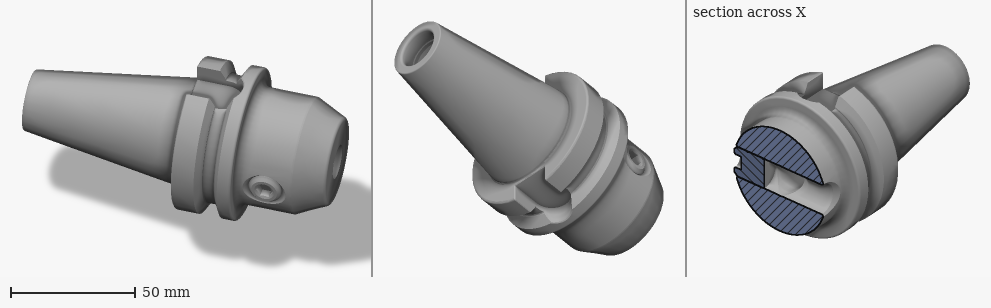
import cadquery as cq
import math


taper_per_length = 7 / 24
gauge_x = 66.0
gauge_radius = 22.2
shank_end_radius = gauge_radius - gauge_x * taper_per_length / 2
shank_edge_fillet = 0.5
neck_fillet = 0.6

flange_front_x = 67.4
flange_rear_x = 92.3
flange_diameter = 63.0
flange_radius = flange_diameter / 2
flange_edge_fillet = 0.9
groove_center_x = 81.9
groove_mouth_width = 9.8
groove_floor_width = 4.9
groove_floor_radius = 26.5
groove_wall_angle = 30
groove_floor_fillet = 0.4
groove_wall_run = (groove_mouth_width - groove_floor_width) / 2
groove_wall_foot_radius = flange_radius - groove_wall_run / math.tan(math.radians(groove_wall_angle))

nose_radius = 24.1
nose_root_fillet = 3.0
nose_cone_x = 115.4
nose_end_x = 128.4
nose_end_radius = 18.0
nose_fillet = 1.7

slot_width = 16.0
slot_floor_height = 22.5
slot_end_x = 88.9
slot_chamfer = 0.4

bore_radius = 7.0
pilot_radius = 8.5
pilot_depth = 6.7
pilot_mouth_fillet = 1.0
entry_radius = 8.1
entry_depth = 8.5
entry_cone_length = 1.2

screw_x = 104.5
screw_radius = 6.9
countersink_radius = 9.0

screw_length = 16.0
screw_face_radius = 5.4
screw_chamfer = screw_radius - screw_face_radius
hex_across_flats = 6.0
hex_depth = 3.9
hex_mouth_radius = 4.1
hex_mouth_angle = 30


def circles_at(body, x, radius):
    """Full circles around the X axis at the given place."""
    tolerance = 0.01
    found = [
        edge for edge in body.edges("%CIRCLE").vals()
        if abs(edge.Center().x - x) < tolerance and abs(edge.radius() - radius) < tolerance
    ]
    return body.newObject(found)


def make_turned_blank():
    groove_front_x = groove_center_x - groove_mouth_width / 2
    groove_rear_x = groove_center_x + groove_mouth_width / 2
    floor_front_x = groove_center_x - groove_floor_width / 2
    floor_rear_x = groove_center_x + groove_floor_width / 2
    outline = [
        (0, 0),
        (0, shank_end_radius),
        (gauge_x, gauge_radius),
        (flange_front_x, gauge_radius),
        (flange_front_x, flange_radius),
        (groove_front_x, flange_radius),
        (floor_front_x, groove_wall_foot_radius),
        (floor_front_x, groove_floor_radius),
        (floor_rear_x, groove_floor_radius),
        (floor_rear_x, groove_wall_foot_radius),
        (groove_rear_x, flange_radius),
        (flange_rear_x, flange_radius),
        (flange_rear_x, nose_radius),
        (nose_cone_x, nose_radius),
        (nose_end_x, nose_end_radius),
        (nose_end_x, 0),
    ]
    blank = cq.Workplane("XY").polyline(outline).close().revolve(360, (0, 0, 0), (1, 0, 0))
    rounded_edges = [
        (0, shank_end_radius, shank_edge_fillet),
        (flange_front_x, gauge_radius, neck_fillet),
        (flange_front_x, flange_radius, flange_edge_fillet),
        (floor_front_x, groove_floor_radius, groove_floor_fillet),
        (floor_rear_x, groove_floor_radius, groove_floor_fillet),
        (flange_rear_x, flange_radius, flange_edge_fillet),
        (flange_rear_x, nose_radius, nose_root_fillet),
        (nose_cone_x, nose_radius, nose_fillet),
        (nose_end_x, nose_end_radius, nose_fillet),
    ]
    for x, radius, fillet in rounded_edges:
        blank = circles_at(blank, x, radius).fillet(fillet)
    return blank


def cut_bore(body):
    step = pilot_radius - entry_radius
    outline = [
        (0, 0),
        (0, pilot_radius),
        (pilot_depth, pilot_radius),
        (pilot_depth + step, entry_radius),
        (entry_depth, entry_radius),
        (entry_depth + entry_cone_length, bore_radius),
        (nose_end_x, bore_radius),
        (nose_end_x, 0),
    ]
    bore = cq.Workplane("XY").polyline(outline).close().revolve(360, (0, 0, 0), (1, 0, 0))
    return circles_at(body.cut(bore), 0, pilot_radius).fillet(pilot_mouth_fillet)


def make_slot_cutter():
    """Cutter for the top slot: round-ended slot plus the chamfer around its front opening."""
    start_x = gauge_x
    end_center_x = slot_end_x - slot_width / 2
    height = flange_radius - slot_floor_height + 1.3
    slot = (
        cq.Workplane("XY", origin=(0, 0, slot_floor_height))
        .moveTo(start_x, -slot_width / 2)
        .lineTo(end_center_x, -slot_width / 2)
        .threePointArc((slot_end_x, 0), (end_center_x, slot_width / 2))
        .lineTo(start_x, slot_width / 2)
        .close()
        .extrude(height)
    )
    front_chamfer = (
        cq.Workplane("YZ", origin=(flange_front_x, 0, slot_floor_height + height / 2))
        .rect(slot_width + 2 * slot_chamfer, height + 2 * slot_chamfer)
        .extrude(slot_chamfer, taper=45)
    )
    return slot.union(front_chamfer)


def slot_rim(body):
    """Edges where the slot walls meet the outer cylinder of the flange."""
    tolerance = 0.01
    half_width = slot_width / 2 + tolerance
    rim = []
    for edge in body.edges().vals():
        points = [edge.positionAt(share) for share in (0, 0.3, 1)]
        on_cylinder = all(abs(math.hypot(p.y, p.z) - flange_radius) < tolerance for p in points)
        inside_slot = all(abs(p.y) < half_width for p in points)
        if on_cylinder and inside_slot:
            rim.append(edge)
    return body.newObject(rim)


def cut_slots(body):
    cutter = make_slot_cutter()
    for angle in (0, 180):
        body = body.cut(cutter.rotate((0, 0, 0), (1, 0, 0), angle))
    return slot_rim(body).chamfer(slot_chamfer)


def cut_screw_hole(body):
    through_hole = (
        cq.Workplane("XZ", origin=(screw_x, 0, 0))
        .circle(screw_radius)
        .extrude(nose_radius, both=True)
    )
    body = body.cut(through_hole)
    for direction in (-1, 1):
        countersink = cq.Solid.makeCone(
            countersink_radius,
            0,
            countersink_radius,
            pnt=cq.Vector(screw_x, direction * nose_radius, 0),
            dir=cq.Vector(0, -direction, 0),
        )
        body = body.cut(cq.Workplane(countersink))
    return body


def make_holder():
    holder = make_turned_blank()
    holder = cut_bore(holder)
    holder = cut_slots(holder)
    return cut_screw_hole(holder)


def make_screw():
    """Headless hexagon-socket screw, its outer face level with the nose surface."""
    face = cq.Workplane("XZ", origin=(screw_x, -nose_radius, 0))
    screw = face.circle(screw_radius).extrude(-screw_length).faces("<Y").chamfer(screw_chamfer)
    hex_corner_diameter = hex_across_flats / math.cos(math.radians(30))
    socket = face.polygon(6, hex_corner_diameter).extrude(-hex_depth)
    socket_mouth = cq.Solid.makeCone(
        hex_mouth_radius,
        0,
        hex_mouth_radius * math.tan(math.radians(hex_mouth_angle)),
        pnt=cq.Vector(screw_x, -nose_radius, 0),
        dir=cq.Vector(0, 1, 0),
    )
    return screw.cut(socket).cut(cq.Workplane(socket_mouth))


holder = make_holder()
screw = make_screw()
result = cq.Compound.makeCompound([holder.val(), screw.val()])